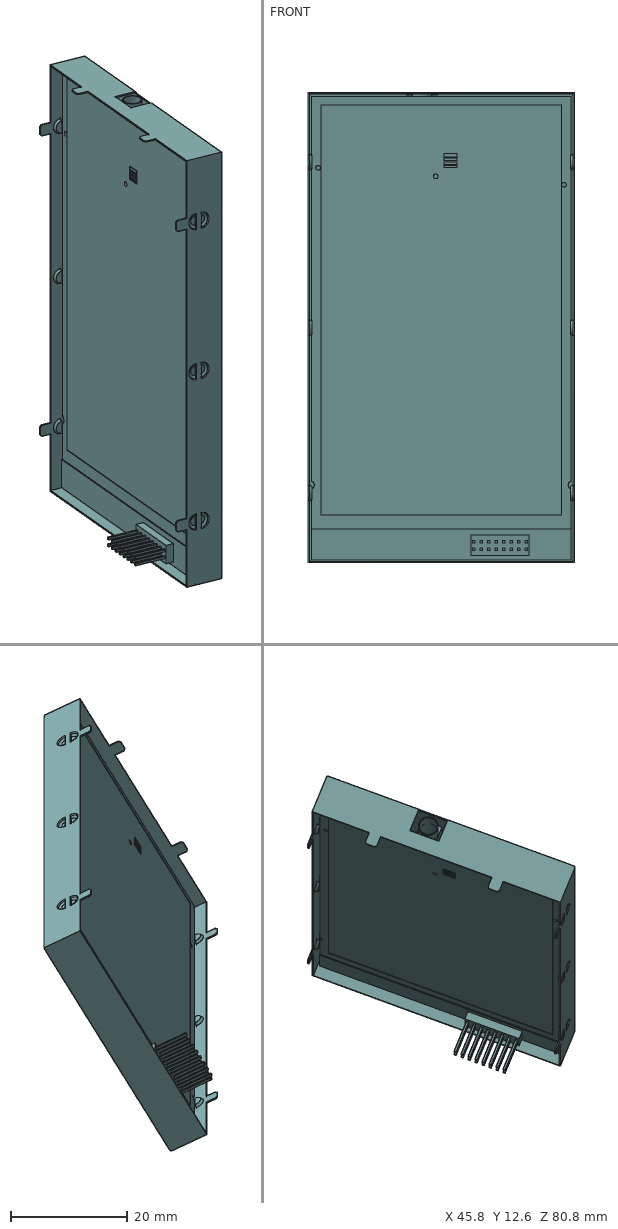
import cadquery as cq


FRAME_WIDTH = 45.8
FRAME_HEIGHT = 80.8
FRAME_DEPTH = 7.2
SHEET = 0.25
BEND_RADIUS = 0.4

TAB_WIDTH = 2.1
TAB_LENGTH = 2.1
TAB_CORNER = 0.3
TOP_TAB_X = 11.3
SIDE_TAB_Z = 28.45

BOARD_BACK = 4.3
BOARD_THICKNESS = 1.0
BOARD_FRONT = BOARD_BACK + BOARD_THICKNESS
BOARD_WIDTH = 44.6
BOARD_TOP = 39.75
BOARD_BOTTOM = -39.9
STRIP_TOP = -34.6
RECESS_DEPTH = 0.2
RECESS_FLOOR = BOARD_FRONT - RECESS_DEPTH
SCREEN_RELIEF = 0.1
SCREEN_FRONT = RECESS_FLOOR + SCREEN_RELIEF
SCREEN_WIDTH = 41.4
SCREEN_BOTTOM = -32.15
SCREEN_TOP = 38.3

DENT_RADIUS = 1.5
DENT_FLOOR_RADIUS = 0.9
DENT_DEPTH = 0.5

EDGE_NOTCH_RADIUS = 0.7
EDGE_NOTCH_X = 22.55
EDGE_NOTCH_Z = -27.1
HOLE_RADIUS = 0.4
HOLE_PLACES = [(-1.0, 26.0), (21.1, 24.6), (-21.2, 27.5)]

CHIP_X = 1.6
CHIP_Z = 28.8
CHIP_WIDTH = 2.3
CHIP_HEIGHT = 2.4
CHIP_RELIEF = 0.1
CHIP_GROOVE = 0.25
CHIP_GROOVE_OFFSETS = (0.5, -0.2, -0.8)

OPENING_LEFT = -6.0
OPENING_RIGHT = -0.65
JACK_X = -3.3
JACK_DEPTH = 2.4
JACK_SIZE = 3.6
JACK_LENGTH = 9.7
JACK_END_WALL = 0.8
NOZZLE_LENGTH = 3.2
NOZZLE_RADIUS = 1.7
BORE_RADIUS = 1.5

PIN_COLUMNS = 8
PIN_ROWS = 2
PIN_PITCH = 1.3
PIN_SIZE = 0.4
PIN_TIP = 12.6
HEADER_X = 10.1
HEADER_Z = -37.4
HEADER_WIDTH = 10.0
HEADER_HEIGHT = 3.5
HEADER_THICKNESS = 1.45


def block(left, right, back, front, bottom, top):
    """Box between two X places, two depths and two Z places."""
    size = (right - left, front - back, top - bottom)
    corner = (left, -front, bottom)
    return cq.Workplane("XY").box(*size, centered=False).translate(corner)


def centered_block(x, z, width, height, back, front):
    return block(x - width / 2, x + width / 2, back, front, z - height / 2, z + height / 2)


def half_cone(floor_radius, length, side):
    """Half of a cone on the left wall, tapering inward, behind (-1) or in front (1) of the board."""
    edge = BOARD_BACK if side < 0 else BOARD_FRONT
    reach = edge + side * DENT_RADIUS
    center = cq.Vector(-FRAME_WIDTH / 2, -edge, 0)
    cone = cq.Workplane(cq.Solid.makeCone(DENT_RADIUS, floor_radius, length, center, cq.Vector(1, 0, 0)))
    kept = block(center.x, center.x + length, min(edge, reach), max(edge, reach), -DENT_RADIUS, DENT_RADIUS)
    return cone.intersect(kept)


def make_shell():
    """Open tray with a rounded bend around its back."""
    outer = centered_block(0, 0, FRAME_WIDTH, FRAME_HEIGHT, 0, FRAME_DEPTH)
    outer = outer.faces(">Y").edges().fillet(BEND_RADIUS)
    inner = centered_block(0, 0, FRAME_WIDTH - 2 * SHEET, FRAME_HEIGHT - 2 * SHEET, SHEET, FRAME_DEPTH)
    inner = inner.faces(">Y").edges().fillet(BEND_RADIUS - SHEET)
    return outer.cut(inner)


def add_tabs(frame):
    """Two tabs on the top wall and two on each side wall."""
    tab_back = FRAME_DEPTH - SHEET
    tab_front = FRAME_DEPTH + TAB_LENGTH
    for x in (-TOP_TAB_X, TOP_TAB_X):
        tab = centered_block(x, (FRAME_HEIGHT - SHEET) / 2, TAB_WIDTH, SHEET, tab_back, tab_front)
        frame = frame.union(tab.faces("<Y").edges("|Z").chamfer(TAB_CORNER))
    for z in (-SIDE_TAB_Z, SIDE_TAB_Z):
        tab = centered_block((SHEET - FRAME_WIDTH) / 2, z, SHEET, TAB_WIDTH, tab_back, tab_front)
        tab = tab.faces("<Y").edges("|X").chamfer(TAB_CORNER)
        frame = frame.union(tab).union(tab.mirror("YZ"))
    return frame


def press_dents(frame):
    """Pairs of half-round dents whose open straight sides face the edge of the board."""
    for z in (-SIDE_TAB_Z, 0, SIDE_TAB_Z):
        for side in (-1, 1):
            bulge = half_cone(DENT_FLOOR_RADIUS + SHEET, DENT_DEPTH + SHEET, side).translate((0, 0, z))
            hollow = half_cone(DENT_FLOOR_RADIUS, DENT_DEPTH, side).translate((0, 0, z))
            frame = frame.union(bulge).union(bulge.mirror("YZ"))
            frame = frame.cut(hollow).cut(hollow.mirror("YZ"))
    return frame


def make_frame():
    top = FRAME_HEIGHT / 2
    jack_opening = block(OPENING_LEFT, OPENING_RIGHT, 0, BOARD_BACK, top - BEND_RADIUS, top)
    return press_dents(add_tabs(make_shell())).cut(jack_opening)


def make_board():
    half_width = BOARD_WIDTH / 2
    board = block(-half_width, half_width, BOARD_BACK, BOARD_FRONT, BOARD_BOTTOM, BOARD_TOP)
    board = board.cut(block(-half_width, half_width, RECESS_FLOOR, BOARD_FRONT, STRIP_TOP, BOARD_TOP))
    board = board.union(
        block(-SCREEN_WIDTH / 2, SCREEN_WIDTH / 2, BOARD_BACK, SCREEN_FRONT, SCREEN_BOTTOM, SCREEN_TOP)
    )
    notches = [(-EDGE_NOTCH_X, EDGE_NOTCH_Z), (EDGE_NOTCH_X, EDGE_NOTCH_Z)]
    board = board.cut(cq.Workplane("XZ").pushPoints(notches).circle(EDGE_NOTCH_RADIUS).extrude(FRAME_DEPTH))
    board = board.cut(cq.Workplane("XZ").pushPoints(HOLE_PLACES).circle(HOLE_RADIUS).extrude(FRAME_DEPTH))
    return board.union(make_chip())


def make_chip():
    """Low raised rectangle on the screen, crossed by level grooves."""
    front = SCREEN_FRONT + CHIP_RELIEF
    chip = centered_block(CHIP_X, CHIP_Z, CHIP_WIDTH, CHIP_HEIGHT, BOARD_BACK, front)
    for offset in CHIP_GROOVE_OFFSETS:
        chip = chip.cut(
            centered_block(CHIP_X, CHIP_Z + offset, CHIP_WIDTH, CHIP_GROOVE, SCREEN_FRONT, front)
        )
    return chip


def make_jack():
    top = FRAME_HEIGHT / 2
    shoulder = top - NOZZLE_LENGTH
    body = block(JACK_X - JACK_SIZE / 2, JACK_X + JACK_SIZE / 2, BOARD_BACK - JACK_SIZE, BOARD_BACK,
                 top - JACK_LENGTH, shoulder)
    axis = cq.Workplane("XY", origin=(JACK_X, -JACK_DEPTH, shoulder))
    body = body.union(axis.circle(NOZZLE_RADIUS).extrude(NOZZLE_LENGTH))
    bore = axis.workplane(offset=NOZZLE_LENGTH).circle(BORE_RADIUS).extrude(JACK_END_WALL - JACK_LENGTH)
    return body.cut(bore)


def make_header():
    front = BOARD_FRONT + HEADER_THICKNESS
    header = centered_block(HEADER_X, HEADER_Z, HEADER_WIDTH, HEADER_HEIGHT, BOARD_FRONT, front)
    pins = (
        cq.Workplane("XZ", origin=(HEADER_X, -front, HEADER_Z))
        .rarray(PIN_PITCH, PIN_PITCH, PIN_COLUMNS, PIN_ROWS)
        .rect(PIN_SIZE, PIN_SIZE)
        .extrude(PIN_TIP - front)
    )
    return header.union(pins)


frame = make_frame().solids()
board = make_board().solids()
jack = make_jack().solids()
header = make_header().solids()
result = cq.Compound.makeCompound([frame.val(), board.val(), jack.val(), header.val()])